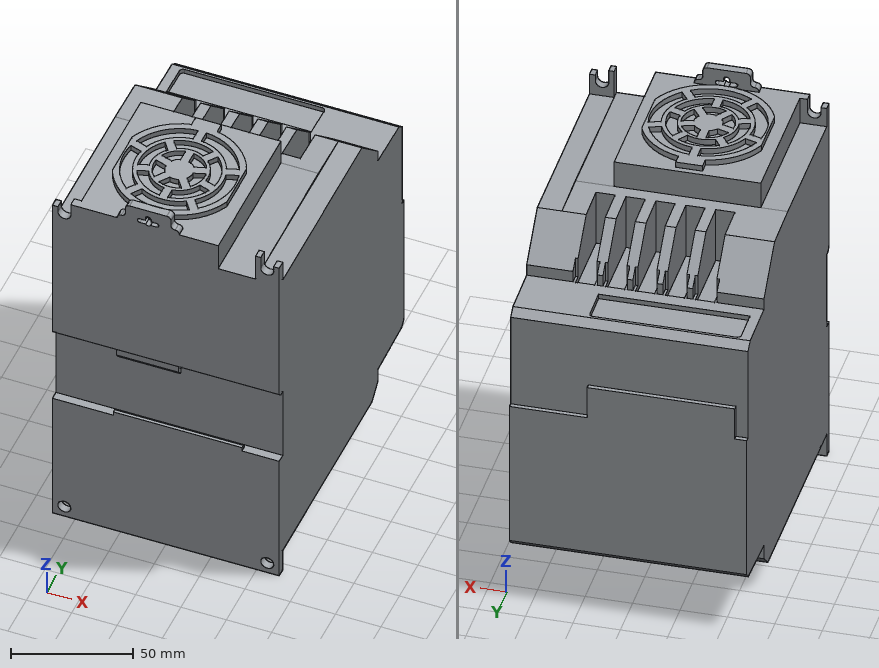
import cadquery as cq

WIDTH = 100.0
DEPTH = 134.9
HEIGHT = 183.0

PLATE_T = 3.8
SHOULDER_Z = 171.5
PLATE_TOP = 174.5
SCREW_X = 5.3
SCREW_Z = 5.3
SCREW_D = 5.7
SCREW_R = SCREW_D / 2
SLOT_Z = 168.7
FINGER_W = 2.5

FAN_X = 42.3
TAB_HALF = 10.0
TAB_CORNER_R = 1.8
TAB_FOOT_Z = 176.5
TAB_FILLET_R = 1.8
TAB_FOOT_HALF = TAB_HALF + 2 * TAB_FILLET_R
TAB_SLOT_W = 9.3
TAB_SLOT_H = 2.0
TAB_SLOT_Z = 176.4
KEY_R = 1.3
KEY_BOTTOM = 174.7
KEY_TOP = 179.7

BODY_BOTTOM = 10.8
BELLY_Y = 106.7
DECK_Y = 89.3
DECK_Z = 161.8
DECK_RISE = 0.7
COVER_TOP_Y = 132.8
COVER_LOW_Z = 93.5
COVER_FRONT_TOP = 136.1
COVER_EDGE_Z = 139.0
COVER_EDGE_Y = 129.2
COVER_ROOT_Z = 139.8
SLOPE_FOOT_Z = 145.0
COVER_FRONT_BOTTOM = 27.5
COVER_CORNER_Y = 132.3
COVER_CORNER_Z = 24.7
COVER_BOTTOM = 23.5
BELLY_LOW_Z = 16.8
BELLY_LOW_Y = 100.3
SIDE_STRIP_X = 89.7

PANEL_X0 = 5.1
PANEL_X1 = 67.3
PANEL_TOP = 108.3

LABEL_X0 = 4.4
LABEL_X1 = 68.3
LABEL_Y0 = 112.5
LABEL_Y1 = 128.0
LABEL_DEPTH = 2.2
LABEL_CORNER_R = 1.6

FAN_BLOCK_X0 = 11.3
FAN_BLOCK_X1 = 73.2
FAN_BLOCK_Y = 67.7
SKIRT_Y = 91.1
SKIRT_INSET = FAN_BLOCK_X0

FAN_Y = 33.9
FAN_TOP = 177.1
FAN_R = 27.5
FAN_FLAT_HALF = 25.3
FAN_EAR_HALF = 5.7
FAN_EAR_Y = 65.1
GRILLE_DEPTH = FAN_TOP - PLATE_TOP
SPOKE_W = 3.7
SPOKE_COUNT = 5
GRILLE_RINGS = [(6.0, 11.2, 90), (12.6, 17.4, 270), (19.2, 24.5, 90)]

VENT_COUNT = 5
VENT_PITCH = 12.6
VENT_X0 = 20.9
VENT_W = 8.0
VENT_BACK_Y = 73.4
VENT_FLOOR = 137.2
VENT_MOUTH_EXTRA = 1.1
VENT_MOUTH_Y = 102.7

RAIL_BOTTOM = 63.9
RAIL_TOP = 99.4
RAIL_CHAMFER = 1.6
HOOK_X0 = 28.2
HOOK_X1 = 55.6
HOOK_Y = 0.2
HOOK_BOTTOM = 95.5
HOOK_FACE_Z = 97.7
HOOK_TIP_Y0 = 1.8
HOOK_TIP_Y1 = 2.5
LIP_X0 = 26.9
LIP_X1 = 83.6
LIP_TOP = 65.7
LIP_EDGE_Y = 1.5
LIP_BACK_Y = 2.5
LIP_BACK_Z = 65.0


def box(x0, x1, y0, y1, z0, z1):
    """Box between two opposite corners."""
    return cq.Workplane("XY").box(x1 - x0, y1 - y0, z1 - z0, centered=False).translate((x0, y0, z0))


def side_prism(points, x0, x1):
    """Closed (y, z) outline extruded along X from x0 to x1."""
    return cq.Workplane("YZ").polyline(points).close().extrude(x1 - x0).translate((x0, 0, 0))


def through_plate(outline):
    """Extrude an XZ outline over the back plate thickness, from y = 0 inwards."""
    return outline.extrude(-PLATE_T)


def back_plate():
    """Plate with the hanging tab, a corner notch and four mounting openings."""
    plate = box(0, WIDTH, 0, PLATE_T, 0, SHOULDER_Z)
    left_of_fan = SCREW_X + SCREW_R
    finger_x1 = SIDE_STRIP_X + FINGER_W
    plate = plate.union(box(left_of_fan, finger_x1, 0, PLATE_T, SHOULDER_Z, PLATE_TOP))
    plate = plate.cut(box(FAN_BLOCK_X1, SIDE_STRIP_X, 0, PLATE_T, DECK_Z + DECK_RISE, HEIGHT))
    plate = plate.union(hanging_tab())
    for x in (SCREW_X, WIDTH - SCREW_X):
        plate = plate.cut(through_plate(cq.Workplane("XZ").center(x, SCREW_Z).circle(SCREW_R)))
        plate = plate.cut(through_plate(cq.Workplane("XZ").center(x, SLOT_Z).circle(SCREW_R)))
        plate = plate.cut(box(x - SCREW_R, x + SCREW_R, 0, PLATE_T, SLOT_Z, HEIGHT))
    return plate


def hanging_tab():
    """Tab with rounded corners, flared foot and a cross-shaped keyhole."""
    foot = box(FAN_X - TAB_FOOT_HALF, FAN_X + TAB_FOOT_HALF, 0, PLATE_T, PLATE_TOP, TAB_FOOT_Z)
    foot = foot.edges("|Y and >Z").fillet(TAB_FILLET_R)
    left, right = FAN_X - TAB_HALF, FAN_X + TAB_HALF
    head = box(left, right, 0, PLATE_T, TAB_FOOT_Z, HEIGHT)
    head = head.edges("|Y and >Z").fillet(TAB_CORNER_R)
    tab = foot.union(head)
    for x, outward in ((left, -1), (right, 1)):
        centre_x = x + outward * TAB_FILLET_R
        centre_z = TAB_FOOT_Z + TAB_FILLET_R
        corner = box(min(x, centre_x), max(x, centre_x), 0, PLATE_T, TAB_FOOT_Z, centre_z)
        round_cut = cq.Workplane("XZ").center(centre_x, centre_z).circle(TAB_FILLET_R)
        tab = tab.union(corner.cut(through_plate(round_cut)))
    wide_slot = cq.Workplane("XZ").center(FAN_X, TAB_SLOT_Z).slot2D(TAB_SLOT_W, TAB_SLOT_H)
    key_slot = cq.Workplane("XZ").center(FAN_X, (KEY_BOTTOM + KEY_TOP) / 2)
    key_slot = key_slot.slot2D(KEY_TOP - KEY_BOTTOM, 2 * KEY_R, 90)
    return tab.cut(through_plate(wide_slot)).cut(through_plate(key_slot))


def housing():
    """Main housing and cover, with the flat strip lowered along the right side."""
    deck_back_z = DECK_Z + DECK_RISE
    outline = [
        (PLATE_T, BODY_BOTTOM),
        (BELLY_LOW_Y, BODY_BOTTOM),
        (BELLY_Y, BELLY_LOW_Z),
        (BELLY_Y, COVER_BOTTOM),
        (COVER_CORNER_Y, COVER_CORNER_Z),
        (DEPTH, COVER_FRONT_BOTTOM),
        (DEPTH, COVER_LOW_Z),
        (COVER_TOP_Y, COVER_LOW_Z),
        (COVER_TOP_Y, COVER_FRONT_TOP),
        (COVER_EDGE_Y, COVER_EDGE_Z),
        (BELLY_Y, COVER_ROOT_Z),
        (BELLY_Y, SLOPE_FOOT_Z),
        (DECK_Y, DECK_Z),
        (FAN_BLOCK_Y, deck_back_z),
        (PLATE_T, deck_back_z),
    ]
    body = side_prism(outline, 0, WIDTH)
    return body.cut(box(SIDE_STRIP_X, WIDTH, PLATE_T, DECK_Y, DECK_Z, deck_back_z))


def bay_wedge():
    """Wedge cut that makes the bay beside the fan block fall towards the plate notch."""
    high_z = DECK_Z + DECK_RISE
    return side_prism([(0, DECK_Z), (FAN_BLOCK_Y, high_z), (0, high_z)], FAN_BLOCK_X1, SIDE_STRIP_X)


def fan_block():
    """Raised block carrying the flat-sided fan rim and its ear."""
    block = box(FAN_BLOCK_X0, FAN_BLOCK_X1, PLATE_T, FAN_BLOCK_Y, DECK_Z, PLATE_TOP)
    rim = cq.Workplane("XY").circle(FAN_R).extrude(FAN_TOP - PLATE_TOP)
    rim = rim.intersect(cq.Workplane("XY").rect(2 * FAN_FLAT_HALF, 2 * FAN_R).extrude(FAN_TOP))
    rim = rim.translate((FAN_X, FAN_Y, PLATE_TOP))
    ear = box(FAN_X - FAN_EAR_HALF, FAN_X + FAN_EAR_HALF, FAN_Y + FAN_R / 2, FAN_EAR_Y, PLATE_TOP, FAN_TOP)
    return block.union(rim).union(ear)


def grille_ring(inner_r, outer_r, spoke_angle):
    """Ring of openings separated by equally spaced parallel-sided spokes."""
    ring = cq.Workplane("XY").circle(outer_r).circle(inner_r).extrude(GRILLE_DEPTH)
    for i in range(SPOKE_COUNT):
        spoke = box(0, FAN_R, -SPOKE_W / 2, SPOKE_W / 2, 0, GRILLE_DEPTH)
        ring = ring.cut(spoke.rotate((0, 0, 0), (0, 0, 1), spoke_angle + i * 360 / SPOKE_COUNT))
    return ring.translate((FAN_X, FAN_Y, FAN_TOP - GRILLE_DEPTH))


def air_slot(x0):
    """Slot cut down into the deck, with a wider, shallower mouth beside the cover."""
    x1 = x0 + VENT_W
    mouth = box(x0 - VENT_MOUTH_EXTRA, x1 + VENT_MOUTH_EXTRA, VENT_MOUTH_Y, BELLY_Y, COVER_ROOT_Z, DECK_Z)
    return box(x0, x1, VENT_BACK_Y, BELLY_Y, VENT_FLOOR, DECK_Z + DECK_RISE).union(mouth)


def label_recess():
    """Recess parallel to the drafted top face of the cover."""
    draft = (COVER_ROOT_Z - COVER_EDGE_Z) / (COVER_EDGE_Y - BELLY_Y)
    z0 = COVER_ROOT_Z - draft * (LABEL_Y0 - BELLY_Y)
    z1 = COVER_ROOT_Z - draft * (LABEL_Y1 - BELLY_Y)
    outline = [
        (LABEL_Y0, z0 - LABEL_DEPTH),
        (LABEL_Y1, z1 - LABEL_DEPTH),
        (LABEL_Y1, COVER_ROOT_Z),
        (LABEL_Y0, COVER_ROOT_Z),
    ]
    recess = side_prism(outline, LABEL_X0, LABEL_X1)
    return recess.edges("|Z and >Y").fillet(LABEL_CORNER_R)


def rail_groove():
    """Full-width groove with a chamfered upper edge."""
    outline = [
        (0, RAIL_BOTTOM),
        (PLATE_T, RAIL_BOTTOM),
        (PLATE_T, RAIL_TOP),
        (RAIL_CHAMFER, RAIL_TOP),
        (0, RAIL_TOP + RAIL_CHAMFER),
    ]
    return side_prism(outline, 0, WIDTH)


def rail_hook():
    """Hook that hangs over the upper edge of the rail."""
    outline = [
        (HOOK_Y, RAIL_TOP + RAIL_CHAMFER),
        (HOOK_Y, HOOK_FACE_Z),
        (HOOK_TIP_Y0, HOOK_BOTTOM),
        (HOOK_TIP_Y1, HOOK_BOTTOM),
        (HOOK_TIP_Y1, HOOK_FACE_Z),
        (PLATE_T, HOOK_FACE_Z),
        (PLATE_T, RAIL_TOP + RAIL_CHAMFER),
    ]
    return side_prism(outline, HOOK_X0, HOOK_X1)


def rail_lip():
    """Low lip that catches the lower edge of the rail."""
    outline = [
        (0, RAIL_BOTTOM),
        (0, LIP_TOP),
        (LIP_EDGE_Y, LIP_TOP),
        (LIP_BACK_Y, LIP_BACK_Z),
        (LIP_BACK_Y, RAIL_BOTTOM),
    ]
    return side_prism(outline, LIP_X0, LIP_X1)


result = housing().union(back_plate()).cut(bay_wedge()).union(fan_block())
result = result.union(box(SKIRT_INSET, WIDTH - SKIRT_INSET, 0, SKIRT_Y, 0, BODY_BOTTOM))
result = result.union(box(PANEL_X0, PANEL_X1, BELLY_Y, DEPTH, COVER_LOW_Z, PANEL_TOP))

for ring_sizes in GRILLE_RINGS:
    result = result.cut(grille_ring(*ring_sizes))
for i in range(VENT_COUNT):
    result = result.cut(air_slot(VENT_X0 + i * VENT_PITCH))
result = result.cut(label_recess())

result = result.cut(rail_groove()).union(rail_hook()).union(rail_lip())